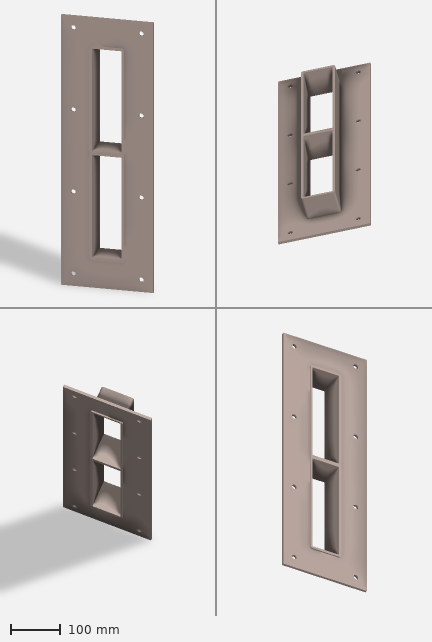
import cadquery as cq

plate_width = 192.5
plate_height = 578.0
plate_thickness = 6.0

tube_width = 71.0
tube_height = 458.0
tube_depth = 60.0
tube_wall = 5.0
tube_corner_radius = 5.0
front_protrusion = 3.0

divider_thickness = 8.5
window_width = tube_width - 2 * tube_wall
window_height = (tube_height - 2 * tube_wall - divider_thickness) / 2
window_offset = (window_height + divider_thickness) / 2

hole_diameter = 10.5
hole_columns = 2
hole_rows = 4
hole_column_spacing = 141.5
hole_row_spacing = 176.0


def block(width, depth, height, front_y):
    """Box centred on X and Z that extends toward +Y from front_y."""
    return cq.Workplane("XY").box(width, depth, height).translate((0, front_y + depth / 2, 0))


def make_plate():
    """Flange with its front face at Y = 0 and the mounting holes drilled through."""
    return (
        block(plate_width, plate_thickness, plate_height, 0)
        .faces("<Y")
        .workplane(centerOption="CenterOfBoundBox")
        .rarray(hole_column_spacing, hole_row_spacing, hole_columns, hole_rows)
        .hole(hole_diameter)
    )


def make_tube():
    """Solid tube envelope with rounded outer corners."""
    envelope = block(tube_width, tube_depth, tube_height, -front_protrusion)
    return envelope.edges("|Y").fillet(tube_corner_radius)


def make_windows():
    """Two sharp-cornered openings running the full depth of the tube."""
    window = block(window_width, tube_depth, window_height, -front_protrusion)
    upper = window.translate((0, 0, window_offset))
    lower = window.translate((0, 0, -window_offset))
    return upper.union(lower)


result = make_plate().union(make_tube()).cut(make_windows())